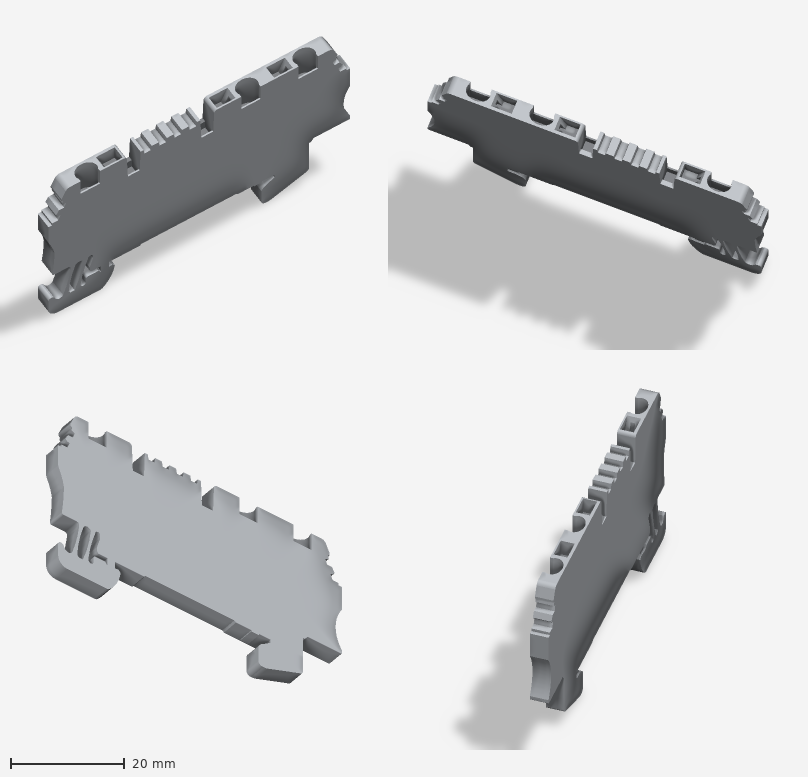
import cadquery as cq
import math


LENGTH = 63.15
HEIGHT = 36.25
THICKNESS = 3.5
COVER_THICKNESS = 0.4
END_Y = LENGTH / 2

SHELF_Z = 12.0
BLOCK_BOTTOM_Z = 7.1
RELIEF_Z = 7.4
SHOULDER_Z = 27.4

SLOT_FLOOR_Z = 30.1
SLOT_EDGES = ((0.41, 2.9), (-14.95, -12.47))
SLOT_TAPER = 0.2
SLOT_LIP_RADIUS = 0.75
COMB_TOP_Z = 35.6
COMB_ROOT_Z = 34.5
COMB_GAPS = 4
COMB_PITCH = 3.15
COMB_FIRST_Y = -1.3
COMB_GAP_TOP = 1.7
COMB_GAP_ROOT = 1.3

WALL_X = 0.3
OPENING_X = (0.55, THICKNESS - WALL_X)
WIRE_HOLE_YS = (22.8, 10.8, -22.8)
WIRE_HOLE_LENGTH = 4.5
WIRE_HOLE_MIN_X = 0.45
WIRE_HOLE_CENTRE_X = 2.15
WIRE_HOLE_DEPTH = 7.6
WIRE_NOTCH_LENGTH = 4.05
WIRE_NOTCH_DEPTH = 3.8

CLAMP_LENGTH = 3.9
CLAMPS = ((19.75, -1), (7.75, -1), (-19.75, 1))
RAMP_RUN = 1.4
RAMP_DEPTH = 3.15
CLAMP_HEIGHT = 1.9
TONGUE_X = (1.5, 2.35)
TONGUE_GAP = 0.45

WINDOW_X = (0.9, THICKNESS - WALL_X)
WINDOW_DEPTH = 1.9
BUSBAR_HEIGHT = 1.25

RAIL_STOP_Y = (-20.6, -18.9)
RAIL_STOP_BOTTOM_Z = 5.05
RAIL_BUMP_Y = (11.4, 13.15)
RAIL_BUMP_DEPTH = 0.25

LATCH_STEPS = [
    (28.85, 33.8), (28.85, 33.35), (28.5, 33.0), (28.65, 32.4), (27.9, 31.95), (28.3, 30.9),
    (29.35, 30.9), (30.0, 29.8), (29.6, 29.35), (29.05, 29.1), (29.5, 28.0), (30.8, 28.0),
    (30.8, SHOULDER_Z), (END_Y, SHOULDER_Z),
]
TOP_CORNER_START = (27.0, HEIGHT)
TOP_CORNER_MID = (27.6, 36.05)
TOP_CORNER_END = (28.0, 35.7)


def mirrored(point):
    """The same point on the other end of the block."""
    return (-point[0], point[1])


def side_sketch(x):
    """Workplane whose local axes are Y and Z, at the given X."""
    return cq.Workplane("YZ", origin=(x, 0, 0))


def box(x_range, y_range, z_range):
    size = [abs(high - low) for low, high in (x_range, y_range, z_range)]
    corner = [min(limits) for limits in (x_range, y_range, z_range)]
    return cq.Workplane("XY", origin=tuple(corner)).box(*size, centered=False)


def outer_outline(x):
    """Closed outline of the block with its two feet, without slots and comb."""
    outline = side_sketch(x).moveTo(*mirrored(TOP_CORNER_START)).lineTo(*TOP_CORNER_START)
    outline = outline.threePointArc(TOP_CORNER_MID, TOP_CORNER_END).polyline(LATCH_STEPS, includeCurrent=True)
    outline = outline.lineTo(END_Y, 22.15).threePointArc((30.2, 17.55), (END_Y, 12.9))
    outline = outline.lineTo(END_Y, 12.25).threePointArc((31.5, 12.05), (31.3, SHELF_Z))
    outline = outline.polyline(
        [(23.9, SHELF_Z), (23.35, 11.25), (22.9, 11.25), (22.9, 3.35)], includeCurrent=True
    )
    outline = outline.threePointArc((22.8, 3.1), (22.5, 2.85))
    outline = outline.lineTo(15.1, 0.1).threePointArc((14.6, 0), (14.1, 0))
    outline = outline.threePointArc((13.3, 0.2), (13.0, 0.8))
    outline = outline.lineTo(13.0, 4.1).threePointArc((13.4, 4.8), (14.1, 5.25))
    outline = outline.lineTo(14.9, 5.5).lineTo(16.15, 5.5).threePointArc((16.4, 5.6), (16.5, 5.9))
    outline = outline.polyline(
        [(16.5, BLOCK_BOTTOM_Z), (8.0, BLOCK_BOTTOM_Z), (7.65, RELIEF_Z),
         (-12.1, RELIEF_Z), (-12.45, BLOCK_BOTTOM_Z), (-22.4, BLOCK_BOTTOM_Z)],
        includeCurrent=True,
    ).threePointArc((-22.8, 7.25), (-22.9, 7.65))
    outline = outline.lineTo(-22.9, 8.45).lineTo(-22.2, 10.85).lineTo(-22.2, 11.55)
    outline = outline.threePointArc((-22.65, SHELF_Z), (-23.3, 11.4))
    outline = outline.threePointArc((-24.25, 8.3), (-24.8, 5.05))
    outline = outline.lineTo(-24.8, 4.4).threePointArc((-24.25, 4.0), (-23.75, 4.4))
    outline = outline.lineTo(-23.7, 5.5).threePointArc((-23.6, 5.9), (-23.3, 6.05))
    outline = outline.polyline(
        [(-21.1, 6.05), (-20.7, 5.5), (-19.0, 5.55), (-18.25, 5.75), (-17.7, 5.25)], includeCurrent=True
    ).threePointArc((-18.55, 2.35), (-20.25, 0.1))
    outline = outline.lineTo(-20.7, 0).lineTo(-29.55, 0).threePointArc((-31.0, 0.6), (-END_Y, 1.95))
    outline = outline.lineTo(-END_Y, 4.75).threePointArc((-31.3, 5.25), (-30.8, 5.35)).lineTo(-30.45, 5.1)
    outline = outline.lineTo(-30.05, 4.35).threePointArc((-29.25, 3.9), (-28.5, 4.35))
    outline = outline.threePointArc((-27.45, 7.9), (-26.95, 10.85)).lineTo(-26.95, 11.55)
    outline = outline.threePointArc((-27.1, 11.9), (-27.4, SHELF_Z)).lineTo(-30.4, SHELF_Z)
    outline = outline.threePointArc((-30.6, 12.1), (-30.75, 12.45))
    outline = outline.threePointArc((-30.45, 15.4), (-30.3, 18.45)).threePointArc((-30.75, 20.45), (-31.45, 22.3))
    outline = outline.lineTo(-END_Y, 22.8)
    outline = outline.polyline([mirrored(p) for p in reversed(LATCH_STEPS)], includeCurrent=True)
    outline = outline.lineTo(*mirrored(TOP_CORNER_END))
    return outline.threePointArc(mirrored(TOP_CORNER_MID), mirrored(TOP_CORNER_START)).close()


def leg_slit(x, depth):
    """Curved slit that separates the two spring legs."""
    slit = side_sketch(x).moveTo(-24.3, 11.5).threePointArc((-25.05, SHELF_Z), (-25.95, 11.4))
    slit = slit.threePointArc((-26.9, 7.95), (-27.35, 4.4)).lineTo(-26.95, 4.0).lineTo(-26.1, 4.0)
    return slit.threePointArc((-24.9, 7.95), (-24.3, 11.5)).close().extrude(depth)


def bridge_slot(x, depth, low_y, high_y, block_side):
    """Tapered slot, rounded over where it meets the high side block."""
    comb_low = low_y - SLOT_TAPER
    comb_high = high_y + SLOT_TAPER
    slot = side_sketch(x).polyline(
        [(low_y, SLOT_FLOOR_Z), (high_y, SLOT_FLOOR_Z), (comb_high, COMB_TOP_Z), (comb_high, HEIGHT),
         (comb_low, HEIGHT), (comb_low, COMB_TOP_Z)]
    ).close().extrude(depth)
    lip_y = comb_high if block_side > 0 else comb_low
    far_y = lip_y + block_side * SLOT_LIP_RADIUS
    inset = SLOT_LIP_RADIUS * (1 - math.sqrt(0.5))
    lip = side_sketch(x).moveTo(lip_y, HEIGHT - SLOT_LIP_RADIUS).threePointArc(
        (lip_y + block_side * inset, HEIGHT - inset), (far_y, HEIGHT)
    ).lineTo(lip_y, HEIGHT).close().extrude(depth)
    return slot.union(lip)


def comb_cut(x, depth):
    """Material above the comb and the tapered gaps between its teeth."""
    low_y = SLOT_EDGES[1][1]
    high_y = SLOT_EDGES[0][0]
    cut = box((x, x + depth), (low_y, high_y), (COMB_TOP_Z, HEIGHT))
    for i in range(COMB_GAPS):
        y = COMB_FIRST_Y - i * COMB_PITCH
        gap = side_sketch(x).polyline(
            [(y - COMB_GAP_ROOT / 2, COMB_ROOT_Z), (y + COMB_GAP_ROOT / 2, COMB_ROOT_Z),
             (y + COMB_GAP_TOP / 2, COMB_TOP_Z), (y - COMB_GAP_TOP / 2, COMB_TOP_Z)]
        ).close().extrude(depth)
        cut = cut.union(gap)
    return cut


def profile_plate(x, depth):
    """Plate with the full side profile, from x to x + depth."""
    plate = outer_outline(x).extrude(depth).cut(leg_slit(x, depth)).cut(comb_cut(x, depth))
    for (low_y, high_y), block_side in zip(SLOT_EDGES, (1, -1)):
        plate = plate.cut(bridge_slot(x, depth, low_y, high_y, block_side))
    return plate


def wire_hole(y):
    """Wire entry, round towards the cover and square at the outer wall, with a notch through that wall."""
    bottom_z = HEIGHT - WIRE_HOLE_DEPTH
    hole = cq.Workplane("XY", origin=(WIRE_HOLE_CENTRE_X, y, bottom_z)).ellipse(
        WIRE_HOLE_CENTRE_X - WIRE_HOLE_MIN_X, WIRE_HOLE_LENGTH / 2
    ).extrude(WIRE_HOLE_DEPTH)
    hole_y = (y - WIRE_HOLE_LENGTH / 2, y + WIRE_HOLE_LENGTH / 2)
    hole = hole.intersect(box((WIRE_HOLE_MIN_X, OPENING_X[1]), hole_y, (bottom_z, HEIGHT)))
    notch_y = (y - WIRE_NOTCH_LENGTH / 2, y + WIRE_NOTCH_LENGTH / 2)
    square_side = box((WIRE_HOLE_CENTRE_X, OPENING_X[1]), notch_y, (bottom_z, HEIGHT))
    notch = box((OPENING_X[1], THICKNESS), notch_y, (HEIGHT - WIRE_NOTCH_DEPTH, HEIGHT))
    return hole.union(square_side).union(notch)


def clamp(end_y, direction):
    """Clamp block at the pocket bottom, with a tongue reaching into the channel of the ramp."""
    top_z = HEIGHT - RAMP_DEPTH
    z_range = (top_z - CLAMP_HEIGHT, top_z)
    ramp_foot_y = end_y + direction * RAMP_RUN
    body = box(OPENING_X, (ramp_foot_y, end_y + direction * CLAMP_LENGTH), z_range)
    tongue = box(TONGUE_X, (end_y + direction * TONGUE_GAP, ramp_foot_y), z_range)
    return body.union(tongue)


def clamp_opening(end_y, direction):
    """Funnel above a clamp: one sloped end wall, split by the tongue channel."""
    floor_z = HEIGHT - RAMP_DEPTH
    far_y = end_y + direction * CLAMP_LENGTH
    ramp_foot_y = end_y + direction * RAMP_RUN
    funnel = side_sketch(OPENING_X[0]).polyline(
        [(end_y, HEIGHT), (far_y, HEIGHT), (far_y, floor_z), (ramp_foot_y, floor_z)]
    ).close().extrude(OPENING_X[1] - OPENING_X[0])
    channel = box(TONGUE_X, (end_y + direction * TONGUE_GAP, ramp_foot_y), (floor_z, HEIGHT))
    return funnel.union(channel)


def busbar():
    """Straight bar under both bridge slots."""
    top_z = SLOT_FLOOR_Z - WINDOW_DEPTH
    return box(WINDOW_X, (SLOT_EDGES[1][0], SLOT_EDGES[0][1]), (top_z - BUSBAR_HEIGHT, top_z))


def rail_details():
    """Foot wedge, rail bump and rail stop, all behind the cover."""
    depth = THICKNESS - COVER_THICKNESS
    wedge = side_sketch(COVER_THICKNESS).polyline(
        [(16.5, BLOCK_BOTTOM_Z), (15.7, BLOCK_BOTTOM_Z), (15.7, 6.4), (13.8, 5.1), (16.5, 5.1)]
    ).close().extrude(depth)
    x_range = (COVER_THICKNESS, THICKNESS)
    bump = box(x_range, RAIL_BUMP_Y, (BLOCK_BOTTOM_Z - RAIL_BUMP_DEPTH, BLOCK_BOTTOM_Z))
    stop = box(x_range, RAIL_STOP_Y, (RAIL_STOP_BOTTOM_Z, BLOCK_BOTTOM_Z))
    return wedge, bump, stop


def housing(inserts):
    body = profile_plate(COVER_THICKNESS, THICKNESS - COVER_THICKNESS)
    for detail in rail_details():
        body = body.union(detail)
    for y in WIRE_HOLE_YS:
        body = body.cut(wire_hole(y))
    for end_y, direction in CLAMPS:
        body = body.cut(clamp_opening(end_y, direction))
    for y_range in SLOT_EDGES:
        body = body.cut(box(WINDOW_X, y_range, (SLOT_FLOOR_Z - WINDOW_DEPTH, SLOT_FLOOR_Z)))
    for insert in inserts:
        body = body.cut(insert)
    return body


cover = profile_plate(0, COVER_THICKNESS)
clamps = [clamp(end_y, direction) for end_y, direction in CLAMPS]
bar = busbar()
shell = housing([*clamps, bar])

result = cq.Compound.makeCompound([shell.val(), cover.val(), bar.val(), *[c.val() for c in clamps]])